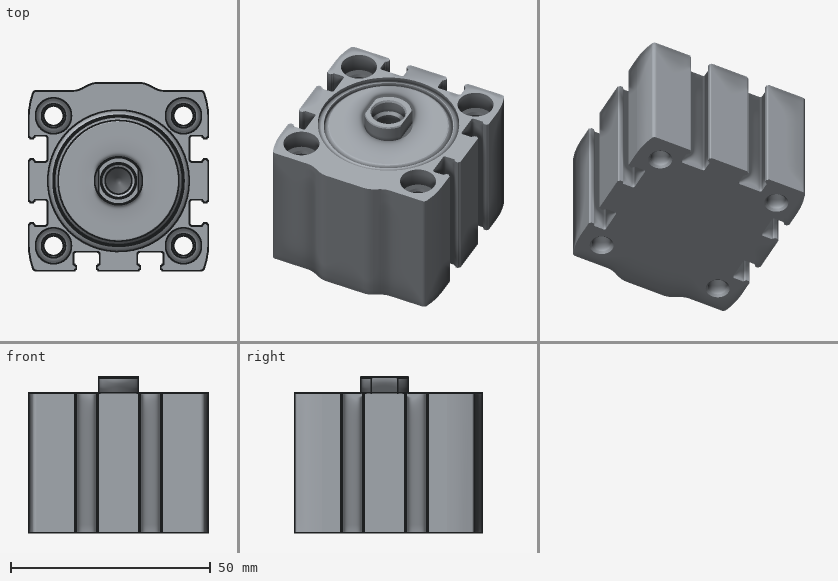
import cadquery as cq
import math

width = 45.0
half_width = width / 2
housing_height = 35.0
crown_rise = 2.0
crown_top_half = 6.4
crown_base_half = 10.3
crown_radius = 5.0

corner_arc_radius = 19.0
corner_arc_start = 15.6
corner_radius = 1.0

slot_offset = 8.0
slot_mouth_width = 5.1
slot_inner_width = 6.5
slot_depth = 4.7
slot_lip = 1.6
slot_mouth_radius = 0.4
slot_inner_radius = 0.5

hole_pitch = 32.5
hole_diameter = 4.92
hole_entry_diameter = 6.0
counterbore_diameter = 9.0
counterbore_depth = 5.0

cap_bore_radius = 35.4 / 2
cap_bore_depth = 1.25
ring_crest_radius = 16.4
ring_inner_radius = 16.2
ring_slope = math.radians(30)
groove_radius = 32.0 / 2
cap_edge_radius = 15.1
cap_face_radius = 14.75
cap_edge_depth = 0.5
cap_face_depth = 0.4

rod_diameter = 12.0
rod_projection = 4.0
rod_length = 24.0
rod_chamfer_width = 0.2
rod_chamfer_height = rod_chamfer_width * math.tan(math.radians(60))
flat_width = 10.0
flat_length = rod_projection + cap_face_depth
flat_runout_slope = math.radians(30)
socket_diameter = 8.4
socket_entry_diameter = 9.0
socket_entry_depth = 0.5
socket_depth = 3.4
socket_seat_slope = math.radians(30)
thread_diameter = 6.65
thread_depth = 13.0
drill_point_half_angle = math.radians(60)

rod_top = housing_height + rod_projection
rod_bottom = rod_top - rod_length


def block():
    """Extruded outline with curved flanks and a raised pad on +Y."""
    arc_rise = half_width - corner_arc_start

    def flank_x(rise):
        inset = corner_arc_radius - math.sqrt(corner_arc_radius**2 - rise**2)
        return half_width - inset

    corner_x = flank_x(arc_rise)
    middle_x = flank_x(arc_rise / 2)
    middle_y = corner_arc_start + arc_rise / 2
    crown_y = half_width + crown_rise

    solid = (
        cq.Workplane("XY")
        .moveTo(-corner_x, -half_width)
        .lineTo(corner_x, -half_width)
        .threePointArc((middle_x, -middle_y), (half_width, -corner_arc_start))
        .lineTo(half_width, corner_arc_start)
        .threePointArc((middle_x, middle_y), (corner_x, half_width))
        .lineTo(crown_base_half, half_width)
        .lineTo(crown_top_half, crown_y)
        .lineTo(-crown_top_half, crown_y)
        .lineTo(-crown_base_half, half_width)
        .lineTo(-corner_x, half_width)
        .threePointArc((-middle_x, middle_y), (-half_width, corner_arc_start))
        .lineTo(-half_width, -corner_arc_start)
        .threePointArc((-middle_x, -middle_y), (-corner_x, -half_width))
        .close()
        .extrude(housing_height)
    )

    for x, y, radius in (
        (corner_x, half_width, corner_radius),
        (corner_x, -half_width, corner_radius),
        (crown_base_half, half_width, crown_radius),
        (crown_top_half, crown_y, crown_radius),
    ):
        for side in (-1, 1):
            edge_middle = (side * x, y, housing_height / 2)
            solid = solid.edges(cq.NearestToPointSelector(edge_middle)).fillet(radius)
    return solid


def slot_cutter():
    """T-slot on the -Y side, centred on X = 0, with rounded lips and floor corners."""
    outside = 1.0
    mouth = slot_mouth_width / 2
    inner = slot_inner_width / 2
    side = -half_width
    lip = side + slot_lip
    floor = side + slot_depth
    mouth_r = slot_mouth_radius
    floor_r = slot_inner_radius
    return (
        cq.Workplane("XY")
        .moveTo(-mouth - mouth_r, side - outside)
        .lineTo(mouth + mouth_r, side - outside)
        .lineTo(mouth + mouth_r, side)
        .radiusArc((mouth, side + mouth_r), -mouth_r)
        .lineTo(mouth, lip - mouth_r)
        .radiusArc((mouth + mouth_r, lip), -mouth_r)
        .lineTo(inner, lip)
        .lineTo(inner, floor - floor_r)
        .radiusArc((inner - floor_r, floor), -floor_r)
        .lineTo(-inner + floor_r, floor)
        .radiusArc((-inner, floor - floor_r), -floor_r)
        .lineTo(-inner, lip)
        .lineTo(-mouth - mouth_r, lip)
        .radiusArc((-mouth, lip - mouth_r), -mouth_r)
        .lineTo(-mouth, side + mouth_r)
        .radiusArc((-mouth - mouth_r, side), -mouth_r)
        .close()
        .extrude(housing_height)
    )


def revolved(profile):
    """Solid turned about the Z axis from (radius, height) points."""
    return cq.Workplane("XZ").polyline(profile).close().revolve(360, (0, 0, 0), (0, 1, 0))


def mounting_hole():
    """Counterbored through hole with 45 degree entries, on the Z axis."""
    radius = hole_diameter / 2
    entry_radius = hole_entry_diameter / 2
    entry_depth = entry_radius - radius
    seat = housing_height - counterbore_depth
    return revolved([
        (0, 0),
        (entry_radius, 0),
        (radius, entry_depth),
        (radius, seat - entry_depth),
        (entry_radius, seat),
        (counterbore_diameter / 2, seat),
        (counterbore_diameter / 2, housing_height),
        (0, housing_height),
    ])


def cap_recess():
    """Stepped, ringed recess that forms the end cap face."""
    crest_depth = cap_bore_depth - (cap_bore_radius - ring_crest_radius) * math.tan(ring_slope)
    groove_depth = cap_edge_depth + (groove_radius - cap_edge_radius)
    profile = [
        (0, 0),
        (cap_bore_radius, 0),
        (cap_bore_radius, cap_bore_depth),
        (ring_crest_radius, crest_depth),
        (ring_inner_radius, crest_depth),
        (groove_radius, groove_depth),
        (cap_edge_radius, cap_edge_depth),
        (cap_face_radius, cap_face_depth),
        (0, cap_face_depth),
    ]
    return revolved([(radius, housing_height - depth) for radius, depth in profile])


def rod_pocket():
    """Blind bore in which the rod sits."""
    return (
        cq.Workplane("XY", origin=(0, 0, rod_bottom))
        .circle(rod_diameter / 2)
        .extrude(rod_length)
    )


def make_housing():
    body = block()
    for side_angle in (-90, 0, 90):
        for offset in (-slot_offset, slot_offset):
            cutter = slot_cutter().translate((offset, 0, 0))
            body = body.cut(cutter.rotate((0, 0, 0), (0, 0, 1), side_angle))
    for x in (-hole_pitch / 2, hole_pitch / 2):
        for y in (-hole_pitch / 2, hole_pitch / 2):
            body = body.cut(mounting_hole().translate((x, y, 0)))
    return body.cut(cap_recess()).cut(rod_pocket())


def rod_socket():
    """Stepped threaded socket in the rod end, closed by a drill point."""
    thread_radius = thread_diameter / 2
    socket_radius = socket_diameter / 2
    entry_radius = socket_entry_diameter / 2
    seat_drop = (socket_radius - thread_radius) * math.tan(socket_seat_slope)
    point_length = thread_radius / math.tan(drill_point_half_angle)
    profile = [
        (0, 0),
        (entry_radius, 0),
        (socket_radius, socket_entry_depth),
        (socket_radius, socket_depth),
        (thread_radius, socket_depth + seat_drop),
        (thread_radius, thread_depth),
        (0, thread_depth + point_length),
    ]
    return revolved([(radius, rod_top - depth) for radius, depth in profile])


def wrench_flat():
    """Cutter for the +X flat, with a sloped runout at its lower end."""
    flat = flat_width / 2
    outer = rod_diameter / 2
    flat_bottom = rod_top - flat_length
    runout_drop = (outer - flat) * math.tan(flat_runout_slope)
    return (
        cq.Workplane("XZ")
        .polyline([
            (flat, rod_top),
            (flat, flat_bottom),
            (outer, flat_bottom - runout_drop),
            (outer, rod_top),
        ])
        .close()
        .extrude(outer, both=True)
    )


def make_rod():
    body = (
        cq.Workplane("XY", origin=(0, 0, rod_bottom))
        .circle(rod_diameter / 2)
        .extrude(rod_length)
        .faces(">Z")
        .chamfer(rod_chamfer_height, rod_chamfer_width)
    )
    flat = wrench_flat()
    body = body.cut(flat).cut(flat.mirror("YZ"))
    return body.cut(rod_socket())


housing = make_housing()
rod = make_rod()

result = cq.Compound.makeCompound([housing.val(), rod.val()])